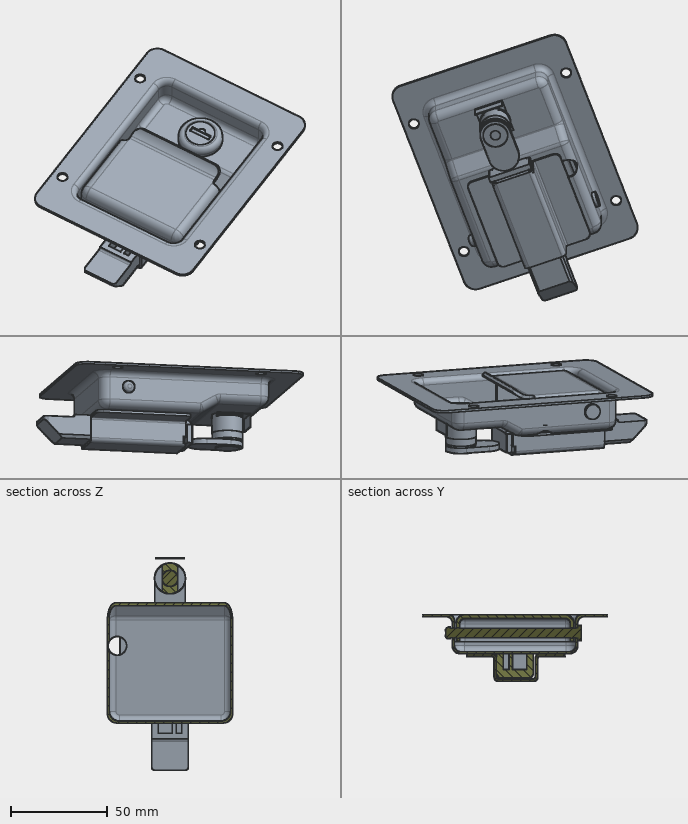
import cadquery as cq
import math


flange_width = 95.25
flange_length = 120.65
flange_corner = 6.35
sheet = 1.2
hole_pitch_x = 83.8
hole_pitch_y = 76.0
hole_dia = 5.21
pan_width = 65.1
pan_length = 90.35
pan_corner = 5.05
rim_radius = 3.2
floor_outer_radius = 4.45
floor_inner_radius = floor_outer_radius - sheet
shallow_depth = 15.2
deep_depth = 20.4
ramp_start_y = 18.2
ramp_angle = 30.0
ramp_run = (deep_depth - shallow_depth) / math.tan(math.radians(ramp_angle))
upper_bend_inside = 4.5
upper_bend_outside = 1.0
lower_bend_radius = 4.0
floor_hole_dia = 9.6
floor_hole_x = -27.25
floor_hole_y = -5.1

handle_half_width = 30.66
handle_edge_radius = 4.76
handle_front_y = -40.9
handle_skirt_y = -0.5
handle_skirt_depth = 14.0
handle_wall = 2.1
skirt_notch_radius = 2.0
curl_half_width = handle_half_width - handle_edge_radius
curl_start_y = 1.9
curl_blend_y = 3.5
curl_blend_angle = 15.0
curl_tip_y = 8.3
curl_tip_z = 3.14
curl_corner = 4.2

pin_y = -30.4
pin_z = -9.5
pin_dia = 5.05
pin_head_dia = 7.92
pin_head_thickness = 1.85
pin_neck_length = 0.85
pin_bulb_dia = 6.3
pin_bulb_length = 2.7
pin_bulb_radius = 2.0

lock_y = 29.8
lock_head_dia = 23.0
lock_head_round = 3.0
lock_head_height = 5.15
lock_head_top = sheet - shallow_depth + lock_head_height
lock_body_dia = 16.1
lock_body_bottom = -28.5
lock_seam_z = -24.8
lock_lower_dia = 15.9
plug_face_dia = 15.09
plug_face_thickness = 2.0
plug_core_dia = 8.0
plug_neck_dia = 15.24
key_slot_length = 11.2
key_slot_width = 2.65
key_slot_depth = 1.0
key_bump_depth = 0.5
key_bump_radius = 1.9
clip_thickness = 0.45
clip_slot_height = 1.5
clip_slot_half_width = 4.1
clip_half_width = 7.5
clip_back_y = 40.55
clip_leg_bottom = -22.3

cam_top = -29.5
cam_thickness = 2.8
cam_bottom = cam_top - cam_thickness
cam_radius = 7.94
cam_reach = 12.7
screw_head_dia = 12.7
screw_head_thickness = 0.55
screw_dia = 5.08
screw_length = 12.0

bracket_sheet = 1.35
bracket_center_x = -0.475
bracket_flange_half = 25.45
bracket_channel_half = 11.35
bracket_bottom = -34.6
bracket_back_y = 5.25
bracket_front_y = -45.0
bracket_corner = 3.1
bracket_inner_bend = 0.95
bracket_outer_bend = bracket_inner_bend + bracket_sheet
bracket_lip_top = -29.7

bolt_half_width = 9.525
bolt_tip_y = -69.565
bolt_back_y = 8.85
bolt_top = -deep_depth
bolt_bottom = -32.85
bolt_step_y = -53.3
bolt_step_height = 1.25
bolt_tip_height = 1.6
bolt_tip_round = 1.8
bolt_edge_inset = 1.2
bolt_edge_height = 1.8
bolt_back_chamfer = 2.3
bolt_ear_top = -23.2
bolt_ear_front_y = 5.95
bolt_ear_half_width = 11.3
bolt_ear_chamfer = 0.5
bolt_relief_top = bracket_lip_top + 0.2
pocket_half_width = 6.0
pocket_front_y = -50.3
pocket_back_y = 0.0
pocket_depth = 8.0
rib_center_x = 2.2
rib_width = 2.0


def box(x0, x1, y0, y1, z0, z1):
    """A box between two opposite corners."""
    return cq.Workplane("XY").box(x1 - x0, y1 - y0, z1 - z0, centered=False).translate((x0, y0, z0))


def cylinder(dia, x, y, z0, z1):
    """A vertical cylinder between two heights."""
    return cq.Workplane("XY").circle(dia / 2).extrude(z1 - z0).translate((x, y, z0))


def near(half_width, y0, y1, z0, z1):
    """Selects the edges centred in a box symmetric about X = 0, with a small margin."""
    margin = 0.1
    return cq.selectors.BoxSelector(
        (-half_width - margin, y0 - margin, z0 - margin),
        (half_width + margin, y1 + margin, z1 + margin),
    )


def tub(inset, floor_radius, upper_bend_radius):
    """The solid filling the pan's outside (inset 0) or its inside (inset = sheet)."""
    half_length = pan_length / 2 - inset
    ramp_shift = inset * math.tan(math.radians(ramp_angle / 2))
    upper_y = ramp_start_y + ramp_shift
    lower_y = upper_y - ramp_run
    profile = [
        (-half_length, 0),
        (half_length, 0),
        (half_length, inset - shallow_depth),
        (upper_y, inset - shallow_depth),
        (lower_y, inset - deep_depth),
        (-half_length, inset - deep_depth),
    ]
    half_width = pan_width / 2 - inset
    body = cq.Workplane("YZ").polyline(profile).close().extrude(half_width, both=True)
    body = body.edges("|Z").fillet(pan_corner)
    for bend_y, bend_radius in ((upper_y, upper_bend_radius), (lower_y, lower_bend_radius)):
        body = body.edges(near(0, bend_y, bend_y, -deep_depth, -1)).fillet(bend_radius)
    below_mouth = near(half_width, -half_length, half_length, -deep_depth, -1)
    cross_lines = near(half_width - pan_corner, 1 - half_length, half_length - 1, -deep_depth, -1)
    floor_outline = cq.selectors.SubtractSelector(below_mouth, cross_lines)
    return body.edges(floor_outline).edges("not |Z").fillet(floor_radius)


def pan_inside():
    return tub(sheet, floor_inner_radius, upper_bend_inside)


def make_pan():
    plate = box(-flange_width / 2, flange_width / 2, -flange_length / 2, flange_length / 2, -sheet, 0)
    plate = plate.edges("|Z").fillet(flange_corner)
    holes = cq.Workplane("XY").rect(hole_pitch_x, hole_pitch_y, forConstruction=True).vertices()
    plate = plate.cut(holes.circle(hole_dia / 2).extrude(-sheet))
    half_width = pan_width / 2
    half_length = pan_length / 2
    pan = plate.union(tub(0, floor_outer_radius, upper_bend_outside))
    pan = pan.edges(near(half_width, -half_length, half_length, -sheet, -sheet)).fillet(rim_radius)
    pan = pan.cut(pan_inside())
    pan = pan.edges(near(half_width, -half_length, half_length, 0, 0)).fillet(rim_radius)
    floor_hole = cylinder(floor_hole_dia, floor_hole_x, floor_hole_y, -deep_depth, -shallow_depth)
    pan = pan.cut(floor_hole)
    pan = pan.cut(cylinder(lock_body_dia, 0, lock_y, -shallow_depth, sheet - shallow_depth))
    return pan.cut(pin_shaft())


def pin_shaft():
    half = pan_width / 2
    return cq.Workplane("YZ").center(pin_y, pin_z).circle(pin_dia / 2).extrude(half, both=True)


def make_handle():
    """Shallow cover with rounded edges, skirts on three sides and an upturned pull lip."""
    radius = handle_edge_radius
    slack = 0.01
    block = box(-handle_half_width, handle_half_width, handle_front_y, curl_start_y, -handle_skirt_depth, 0)
    block = block.edges("|Z and <Y").fillet(radius + slack)
    block = block.faces(">Z").edges("not >Y").fillet(radius)
    inner_half = handle_half_width - handle_wall
    inner_front_y = handle_front_y + handle_wall
    hollow = box(-inner_half, inner_half, inner_front_y, curl_start_y, -handle_skirt_depth, -handle_wall)
    hollow = hollow.edges("|Z and <Y").fillet(radius - handle_wall + slack)
    hollow = hollow.faces(">Z").edges("not >Y").fillet(radius - handle_wall)
    handle = block.cut(hollow)
    notch_length = 2 * (curl_start_y - handle_skirt_y)
    notch_back_y = handle_skirt_y + notch_length
    notch = box(curl_half_width, pan_width / 2, handle_skirt_y, notch_back_y, -handle_skirt_depth, 0)
    notch = notch.edges("|Z and <X and <Y").fillet(skirt_notch_radius)
    handle = handle.cut(notch).cut(notch.mirror("YZ"))
    return handle.union(make_lip()).cut(pin_shaft())


def make_lip():
    """The pull lip: a short blend, then an arc sweeping up, with its two free corners rounded."""
    blend_angle = math.radians(curl_blend_angle)
    blend_radius = (curl_blend_y - curl_start_y) / math.sin(blend_angle)
    blend_rise = blend_radius * (1 - math.cos(blend_angle))
    chord_angle = math.atan2(curl_tip_z - blend_rise, curl_tip_y - curl_blend_y)
    tip_angle = 2 * chord_angle - blend_angle
    curl_radius = (curl_tip_y - curl_blend_y) / (math.sin(tip_angle) - math.sin(blend_angle))

    def blend_point(angle, depth):
        reach = blend_radius + depth
        return (curl_start_y + reach * math.sin(angle), blend_radius - reach * math.cos(angle))

    def curl_point(angle, depth):
        reach = curl_radius + depth
        center_y = curl_tip_y - curl_radius * math.sin(tip_angle)
        center_z = curl_tip_z + curl_radius * math.cos(tip_angle)
        return (center_y + reach * math.sin(angle), center_z - reach * math.cos(angle))

    lip = (
        cq.Workplane("YZ")
        .moveTo(*blend_point(0, 0))
        .threePointArc(blend_point(blend_angle / 2, 0), blend_point(blend_angle, 0))
        .threePointArc(curl_point(chord_angle, 0), curl_point(tip_angle, 0))
        .lineTo(*curl_point(tip_angle, handle_wall))
        .threePointArc(curl_point(chord_angle, handle_wall), curl_point(blend_angle, handle_wall))
        .threePointArc(blend_point(blend_angle / 2, handle_wall), blend_point(0, handle_wall))
        .close()
        .extrude(curl_half_width, both=True)
    )
    return lip.faces(">Y").edges("not |X").fillet(curl_corner)


def make_pin():
    """Hinge pin with a flat head on the -X side and a rounded bulb on the +X side."""
    half = pan_width / 2
    head_plane = cq.Workplane("YZ", origin=(-half, pin_y, pin_z))
    head = head_plane.circle(pin_head_dia / 2).extrude(-pin_head_thickness)
    neck = cq.Workplane("YZ", origin=(half, pin_y, pin_z)).circle(pin_dia / 2).extrude(pin_neck_length)
    bulb = (
        cq.Workplane("YZ", origin=(half + pin_neck_length, pin_y, pin_z))
        .circle(pin_bulb_dia / 2)
        .extrude(pin_bulb_length)
        .faces(">X")
        .edges()
        .fillet(pin_bulb_radius)
    )
    return pin_shaft().union(head).union(neck).union(bulb)


def plug_space():
    """The whole lock plug: flat face, core and the wide neck under the lock body."""
    face = cylinder(plug_face_dia, 0, lock_y, lock_head_top - plug_face_thickness, lock_head_top)
    core = cylinder(plug_core_dia, 0, lock_y, cam_top, lock_head_top - plug_face_thickness)
    neck = cylinder(plug_neck_dia, 0, lock_y, cam_top, lock_body_bottom)
    return face.union(core).union(neck)


def make_lock_housing():
    floor_z = sheet - shallow_depth
    head = cylinder(lock_head_dia, 0, lock_y, floor_z, lock_head_top)
    head = head.faces(">Z").edges().fillet(lock_head_round)
    head = head.intersect(pan_inside())
    body = cylinder(lock_body_dia, 0, lock_y, lock_seam_z, floor_z)
    lower = cylinder(lock_lower_dia, 0, lock_y, lock_body_bottom, lock_seam_z)
    housing = head.union(body).union(lower)
    radius = lock_body_dia / 2
    for x0, x1 in ((-radius, -clip_slot_half_width), (clip_slot_half_width, radius)):
        slot_bottom = -shallow_depth - clip_slot_height
        slot = box(x0, x1, lock_y - radius, lock_y + radius, slot_bottom, -shallow_depth)
        housing = housing.cut(slot)
    return housing.cut(plug_space())


def make_lock_plug():
    plug = plug_space()
    half_length = key_slot_length / 2
    front_y = lock_y - key_slot_width / 2
    back_y = lock_y + key_slot_width / 2
    slot = box(-half_length, half_length, front_y, back_y, lock_head_top - key_slot_depth, lock_head_top)
    bump = cylinder(2 * key_bump_radius, 0, back_y, lock_head_top - key_bump_depth, lock_head_top)
    behind_slot = box(-half_length, half_length, back_y, back_y + key_bump_radius, cam_top, lock_head_top)
    return plug.cut(slot).cut(bump.intersect(behind_slot)).cut(screw_shank())


def screw_shank():
    return cylinder(screw_dia, 0, lock_y, cam_bottom, cam_bottom + screw_length)


def make_cam_screw():
    head = cylinder(screw_head_dia, 0, lock_y, cam_bottom - screw_head_thickness, cam_bottom)
    return screw_shank().union(head)


def make_cam():
    """Flat arm with round ends, from the lock axis to the back of the bolt."""
    arm = (
        cq.Workplane("XY", origin=(0, lock_y - cam_reach / 2, cam_bottom))
        .slot2D(cam_reach + 2 * cam_radius, 2 * cam_radius, 90)
        .extrude(cam_thickness)
    )
    return arm.cut(screw_shank())


def make_clip():
    """U-shaped retaining clip slid into the lock's side slots, with a leg bent down at the back."""
    top = -shallow_depth
    bottom = top - clip_thickness
    front_y = lock_y - math.sqrt((lock_body_dia / 2) ** 2 - clip_slot_half_width**2)
    plate = box(-clip_half_width, clip_half_width, front_y, clip_back_y, bottom, top)
    opening = box(-clip_slot_half_width, clip_slot_half_width, front_y, lock_y, bottom, top)
    between_arms = box(-clip_slot_half_width, clip_slot_half_width, front_y, clip_back_y, bottom, top)
    round_end = cylinder(lock_body_dia, 0, lock_y, bottom, top).intersect(between_arms)
    leg = box(-clip_half_width, clip_half_width, clip_back_y - clip_thickness, clip_back_y, clip_leg_bottom, top)
    return plate.cut(opening).cut(round_end).union(leg)


def make_bracket():
    """Hat-section channel guiding the bolt under the pan, with a stop lip bent up at its back end."""
    top = -deep_depth
    under_flange = top - bracket_sheet
    half = bracket_channel_half
    inner_half = half - bracket_sheet
    inner_bottom = bracket_bottom + bracket_sheet
    front_y = bracket_front_y
    back_y = bracket_back_y

    channel = box(-half, half, front_y, back_y, bracket_bottom, top)
    channel = channel.edges("|Y and <Z").fillet(bracket_outer_bend)
    flange = box(-bracket_flange_half, bracket_flange_half, front_y, back_y, under_flange, top)
    flange = flange.edges("|Z").fillet(bracket_corner)
    bracket = channel.union(flange)
    flange_bends = near(half, front_y, back_y, under_flange, under_flange)
    bracket = bracket.edges(flange_bends).edges("|Y").fillet(bracket_inner_bend)

    passage = box(-inner_half, inner_half, front_y, back_y, inner_bottom, top)
    passage = passage.edges("|Y and <Z").fillet(bracket_inner_bend)
    bracket = bracket.cut(passage)
    mouth_edges = near(half, front_y, back_y, top, top)
    bracket = bracket.edges(mouth_edges).edges("|Y").fillet(bracket_outer_bend)

    lip_front_y = back_y - bracket_sheet
    lip_half = half - bracket_outer_bend
    notch = box(-half, half, lip_front_y, back_y, inner_bottom, bracket_lip_top)
    lip = box(-lip_half, lip_half, lip_front_y, back_y, inner_bottom, bracket_lip_top)
    bracket = bracket.cut(notch).union(lip)
    return bracket.translate((bracket_center_x, 0, 0))


def make_bolt():
    """Sliding bolt: sloped nose, stepped top, open pocket with a rib, and stop ears at the back."""
    step_z = bolt_top - bolt_step_height
    arc_mid = bolt_step_height * (1 - math.sqrt(0.5))
    nose_z = step_z - bolt_tip_height
    nose_run = nose_z - bolt_bottom
    bolt = (
        cq.Workplane("YZ")
        .moveTo(bolt_back_y, bolt_bottom)
        .lineTo(bolt_back_y, bolt_top - bolt_back_chamfer)
        .lineTo(bolt_back_y - bolt_back_chamfer, bolt_top)
        .lineTo(bolt_step_y, bolt_top)
        .threePointArc((bolt_step_y - arc_mid, step_z + arc_mid), (bolt_step_y - bolt_step_height, step_z))
        .lineTo(bolt_tip_y, step_z)
        .lineTo(bolt_tip_y, nose_z)
        .lineTo(bolt_tip_y + nose_run, bolt_bottom)
        .close()
        .extrude(bolt_half_width, both=True)
    )
    bolt = bolt.edges("|Z and <Y").fillet(bolt_tip_round)
    section = [
        (bolt_half_width, bolt_top),
        (bolt_half_width, bolt_bottom + bolt_edge_height),
        (bolt_half_width - bolt_edge_inset, bolt_bottom),
        (bolt_edge_inset - bolt_half_width, bolt_bottom),
        (-bolt_half_width, bolt_bottom + bolt_edge_height),
        (-bolt_half_width, bolt_top),
    ]
    envelope = cq.Workplane("XZ", origin=(0, bolt_back_y, 0)).polyline(section).close()
    bolt = bolt.intersect(envelope.extrude(bolt_back_y - bolt_tip_y))
    pocket_bottom = bolt_top - pocket_depth
    pocket = box(-pocket_half_width, pocket_half_width, pocket_front_y, pocket_back_y, pocket_bottom, bolt_top)
    rib_x0 = rib_center_x - rib_width / 2
    rib = box(rib_x0, rib_x0 + rib_width, pocket_front_y, pocket_back_y, pocket_bottom, bolt_top)
    ear_half = bolt_ear_half_width
    ears = box(-ear_half, ear_half, bolt_ear_front_y, bolt_back_y, bolt_bottom, bolt_ear_top)
    ears = ears.edges("|Z and >Y").chamfer(bolt_ear_chamfer)
    relief = box(-ear_half, ear_half, pocket_back_y, bolt_ear_front_y, bolt_bottom, bolt_relief_top)
    return bolt.cut(pocket.cut(rib)).cut(relief).union(ears)


pan = make_pan()
handle = make_handle()
pin = make_pin()
lock_housing = make_lock_housing()
lock_plug = make_lock_plug()
cam = make_cam()
cam_screw = make_cam_screw()
clip = make_clip()
bracket = make_bracket()
bolt = make_bolt()

bodies = [pan, handle, pin, lock_housing, lock_plug, cam, cam_screw, clip, bracket, bolt]
result = cq.Compound.makeCompound([body.val() for body in bodies])